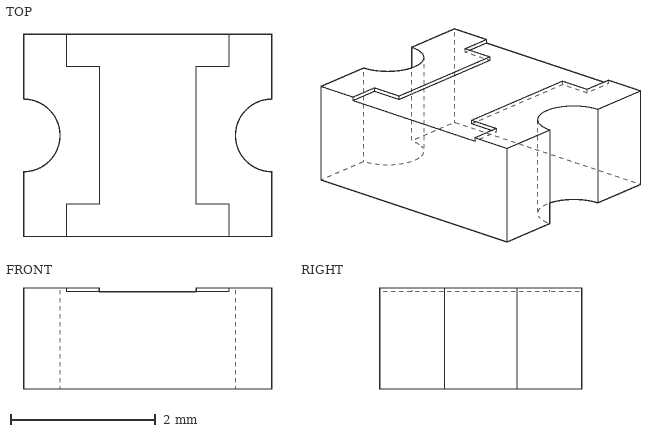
import cadquery as cq

length = 3.43
width = 2.8
height = 1.4

notch_radius = 0.5

recess_depth = 0.05
recess_edge_length = 2.243
recess_middle_length = 1.338
recess_middle_width = 1.9


def end_notches():
    """Vertical cylinders centred on the two end faces."""
    return (
        cq.Workplane("XY")
        .pushPoints([(-length / 2, 0), (length / 2, 0)])
        .circle(notch_radius)
        .extrude(height)
    )


def top_recess():
    """I-shaped pocket in the top face, open at both long sides."""
    floor = cq.Workplane("XY").workplane(offset=height - recess_depth)
    middle = floor.rect(recess_middle_length, width).extrude(recess_depth)
    edge_strip_width = (width - recess_middle_width) / 2
    edge_offset = (width - edge_strip_width) / 2
    edges = (
        floor.pushPoints([(0, -edge_offset), (0, edge_offset)])
        .rect(recess_edge_length, edge_strip_width)
        .extrude(recess_depth)
    )
    return middle.union(edges)


block = cq.Workplane("XY").box(length, width, height, centered=(True, True, False))
result = block.cut(end_notches()).cut(top_recess())